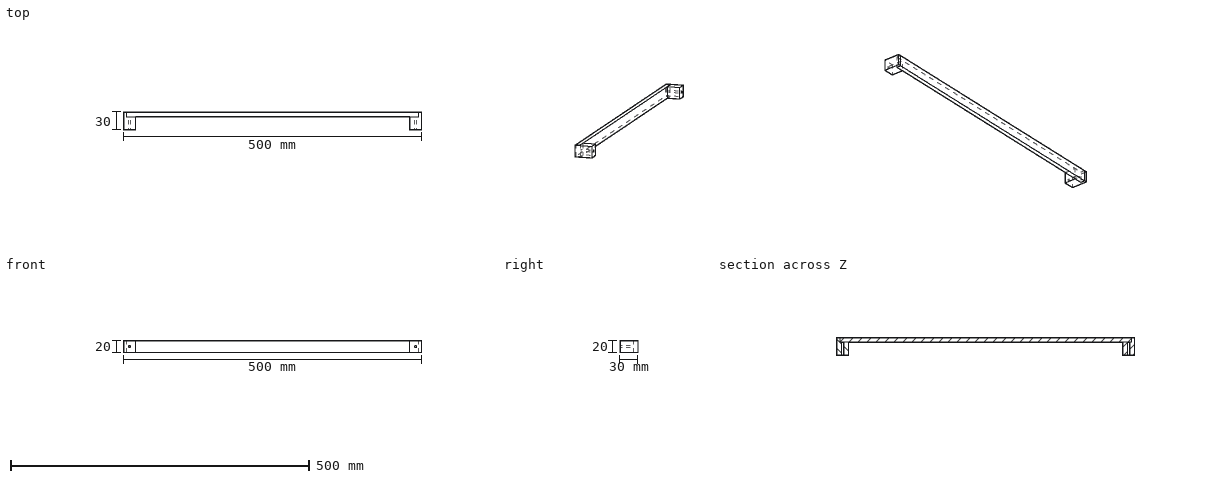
import cadquery as cq

overall_length = 500.0
overall_depth = 30.0
height = 20.0

post_width = height
screw_hole_diameter = 3.3

bar_thickness = 8.0
end_wall = 5.0
bar_length = overall_length - 2 * end_wall
seat_y = overall_depth - bar_thickness
post_offset = (overall_length - post_width) / 2


def make_bar():
    """Grip bar, flush with the back of the posts."""
    return (
        cq.Workplane("XY")
        .box(bar_length, bar_thickness, height, centered=(True, False, True))
        .translate((0, seat_y, 0))
    )


def make_post(center_x, bar):
    """Post with a recess for the bar and a screw hole from its front face to the recess."""
    block = (
        cq.Workplane("XY")
        .box(post_width, overall_depth, height, centered=(True, False, True))
        .translate((center_x, 0, 0))
    )
    screw_hole = (
        cq.Workplane("XZ")
        .center(center_x, 0)
        .circle(screw_hole_diameter / 2)
        .extrude(-seat_y)
    )
    return block.cut(bar).cut(screw_hole)


bar = make_bar()
posts = [make_post(side * post_offset, bar) for side in (-1, 1)]

result = cq.Compound.makeCompound([bar.val(), *[post.val() for post in posts]])